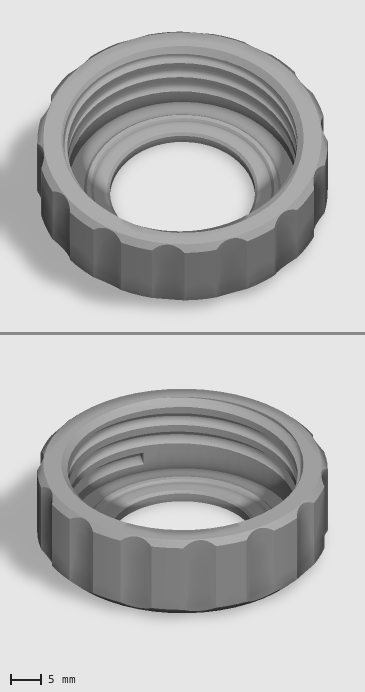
import cadquery as cq
import math

outer_radius = 24.0
height = 15.0
top_chamfer = 1.0
bottom_chamfer = 1.9

flute_count = 14
flute_width = 5.35
flute_depth = 0.9

bore_radius = 19.0
bore_chamfer = 1.0
floor_thickness = 1.95
hole_radius = 12.0
hole_chamfer = 0.45

ridge_inner_radius = 14.7
ridge_outer_radius = 16.25
ridge_height = 0.45

thread_pitch = 3.6
thread_turns = 3.3
thread_start_height = 4.6
groove_width = 2.3
groove_depth = 1.5
groove_flank_angle = 30.0
groove_overlap = 0.25


def ring_body():
    """Revolve the ring with its outer chamfers, stepped opening and ridge."""
    ridge_middle_inner = ridge_inner_radius + ridge_height
    ridge_middle_outer = ridge_outer_radius - ridge_height
    ridge_top = floor_thickness + ridge_height
    section = [
        (hole_radius, 0),
        (outer_radius - bottom_chamfer, 0),
        (outer_radius, bottom_chamfer),
        (outer_radius, height - top_chamfer),
        (outer_radius - top_chamfer, height),
        (bore_radius, height),
        (bore_radius, floor_thickness),
        (ridge_outer_radius, floor_thickness),
        (ridge_middle_outer, ridge_top),
        (ridge_middle_inner, ridge_top),
        (ridge_inner_radius, floor_thickness),
        (hole_radius + hole_chamfer, floor_thickness),
        (hole_radius, floor_thickness - hole_chamfer),
    ]
    return cq.Workplane("XZ").polyline(section).close().revolve(360, (0, 0), (0, 1))


def grip_flutes():
    """Vertical round cutters, one of them centred on the +Y axis."""
    half_width = flute_width / 2
    edge_distance = math.sqrt(outer_radius**2 - half_width**2)
    sagitta = edge_distance - (outer_radius - flute_depth)
    cutter_radius = (half_width**2 + sagitta**2) / (2 * sagitta)
    centre_radius = outer_radius - flute_depth + cutter_radius
    return (
        cq.Workplane("XY")
        .polarArray(centre_radius, 90, 360, flute_count)
        .circle(cutter_radius)
        .extrude(height)
    )


def thread_groove():
    """Sweep a trapezoid along the bore; its base overlaps into the open bore."""
    flank_slope = math.tan(math.radians(groove_flank_angle))
    root_half_width = groove_width / 2 - groove_depth * flank_slope
    base_half_width = groove_width / 2 + groove_overlap * flank_slope
    root_radius = bore_radius + groove_depth
    base_radius = bore_radius - groove_overlap
    profile = [
        (base_radius, -base_half_width),
        (root_radius, -root_half_width),
        (root_radius, root_half_width),
        (base_radius, base_half_width),
    ]
    helix = cq.Wire.makeHelix(thread_pitch, thread_pitch * thread_turns, bore_radius)
    groove = cq.Workplane("XZ").polyline(profile).close().sweep(cq.Workplane(obj=helix), isFrenet=True)
    return groove.translate((0, 0, thread_start_height))


def bore_countersink():
    """Cone that chamfers the top edge of the bore."""
    section = [
        (0, height - bore_chamfer),
        (bore_radius, height - bore_chamfer),
        (bore_radius + bore_chamfer, height),
        (0, height),
    ]
    return cq.Workplane("XZ").polyline(section).close().revolve(360, (0, 0), (0, 1))


threaded_ring = ring_body().cut(thread_groove()).cut(bore_countersink())
result = threaded_ring.cut(grip_flutes())